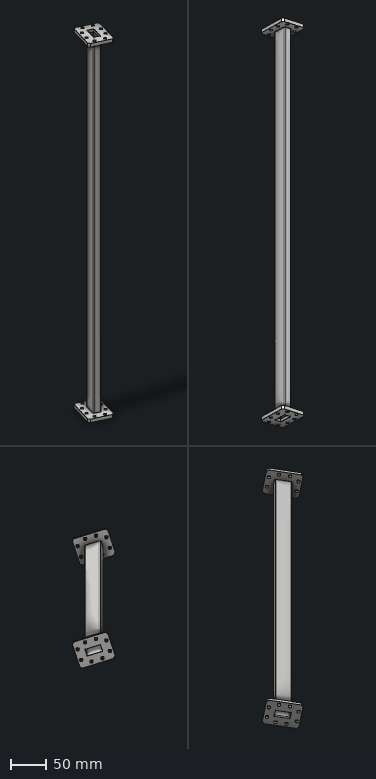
import cadquery as cq

total_length = 609.6

bore_width = 22.86
bore_height = 10.16
wall_thickness = 1.27
tube_corner_radius = 2.54
tube_width = bore_width + 2 * wall_thickness
tube_height = bore_height + 2 * wall_thickness

flange_width = 53.19
flange_height = 40.49
flange_thickness = 5.95
flange_corner_chamfer = 3.175

bolt_hole_diameter = 4.4
side_pair_offset = 21.3
side_pair_spacing = 16.3
end_pair_offset = 14.8
end_pair_spacing = 16.0


def bolt_hole_centers():
    """Centres of the eight bolt holes, mirrored about both flange axes."""
    centers = []
    for x_sign in (-1, 1):
        for y_sign in (-1, 1):
            centers.append((x_sign * side_pair_offset, y_sign * side_pair_spacing / 2))
            centers.append((x_sign * end_pair_spacing / 2, y_sign * end_pair_offset))
    return centers


def make_flange(bottom_z):
    """Plate with chamfered corners and its bolt holes, its lower face at bottom_z."""
    plate = (
        cq.Workplane("XY", origin=(0, 0, bottom_z))
        .rect(flange_width, flange_height)
        .extrude(flange_thickness)
        .edges("|Z")
        .chamfer(flange_corner_chamfer)
    )
    holes = (
        cq.Workplane("XY", origin=(0, 0, bottom_z))
        .pushPoints(bolt_hole_centers())
        .circle(bolt_hole_diameter / 2)
        .extrude(flange_thickness)
    )
    return plate.cut(holes)


def make_tube():
    """Solid outer body of the tube, running between the flange outer faces."""
    return (
        cq.Workplane("XY")
        .box(tube_width, tube_height, total_length)
        .edges("|Z")
        .fillet(tube_corner_radius)
    )


def make_bore():
    """Rectangular passage through the tube and both flanges."""
    return cq.Workplane("XY").box(bore_width, bore_height, total_length)


bottom_flange = make_flange(-total_length / 2)
top_flange = make_flange(total_length / 2 - flange_thickness)
result = make_tube().union(bottom_flange).union(top_flange).cut(make_bore())